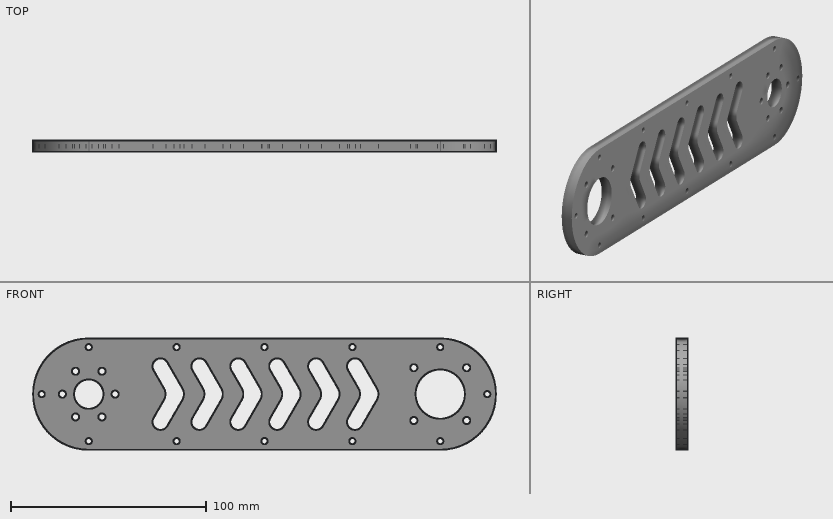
import cadquery as cq
import math

length = 237.0
height = 57.0
thickness = 6.0
end_radius = height / 2
end_x = length / 2 - end_radius

rim_hole_diameter = 3.0
rim_inset = 4.5
rim_offset = end_radius - rim_inset
rim_columns = 5

left_bore_diameter = 15.0
ring_radius = 13.5
ring_count = 6

right_bore_diameter = 25.1
square_side = 27.0
mount_hole_diameter = 3.5

chevron_count = 6
chevron_pitch = 20.0
first_chevron_x = -45.0
arm_width = 8.0
arm_rise = 14.2
arm_lean = math.radians(30)
bend_radius = 6.0


def drill(diameter, points):
    """Cylinders through the full thickness at the given (x, z) points."""
    return (
        cq.Workplane("XZ")
        .pushPoints(points)
        .circle(diameter / 2)
        .extrude(thickness / 2, both=True)
    )


def rim_points():
    """A hole at each end of the X axis, and columns along the top and bottom edges."""
    step = 2 * end_x / (rim_columns - 1)
    points = [(-end_x - rim_offset, 0), (end_x + rim_offset, 0)]
    for column in range(rim_columns):
        x = -end_x + column * step
        points += [(x, rim_offset), (x, -rim_offset)]
    return points


def ring_points():
    angles = [2 * math.pi * i / ring_count for i in range(ring_count)]
    return [(-end_x + ring_radius * math.cos(a), ring_radius * math.sin(a)) for a in angles]


def square_points():
    half = square_side / 2
    return [(end_x + sx * half, sz * half) for sx in (-1, 1) for sz in (-1, 1)]


def chevron(bend_x):
    """One window, with its arms' centre lines meeting at (bend_x, 0)."""
    half_width = arm_width / 2
    end_center_x = bend_x - arm_rise * math.tan(arm_lean)
    side_x = half_width * math.cos(arm_lean)
    side_z = half_width * math.sin(arm_lean)
    cap_x = -half_width * math.sin(arm_lean)
    cap_z = half_width * math.cos(arm_lean)
    corner_x = half_width / math.cos(arm_lean)
    near_bend = cq.selectors.BoxSelector(
        (bend_x - arm_width, -thickness, -half_width),
        (bend_x + arm_width, thickness, half_width),
    )
    return (
        cq.Workplane("XZ")
        .moveTo(bend_x + corner_x, 0)
        .lineTo(end_center_x + side_x, arm_rise + side_z)
        .threePointArc(
            (end_center_x + cap_x, arm_rise + cap_z),
            (end_center_x - side_x, arm_rise - side_z),
        )
        .lineTo(bend_x - corner_x, 0)
        .lineTo(end_center_x - side_x, -arm_rise + side_z)
        .threePointArc(
            (end_center_x + cap_x, -arm_rise - cap_z),
            (end_center_x + side_x, -arm_rise - side_z),
        )
        .close()
        .extrude(thickness / 2, both=True)
        .edges(near_bend)
        .fillet(bend_radius)
    )


plate = cq.Workplane("XZ").slot2D(length, height).extrude(thickness / 2, both=True)

result = (
    plate
    .cut(drill(rim_hole_diameter, rim_points()))
    .cut(drill(left_bore_diameter, [(-end_x, 0)]))
    .cut(drill(right_bore_diameter, [(end_x, 0)]))
    .cut(drill(mount_hole_diameter, ring_points() + square_points()))
)
for i in range(chevron_count):
    result = result.cut(chevron(first_chevron_x + i * chevron_pitch))